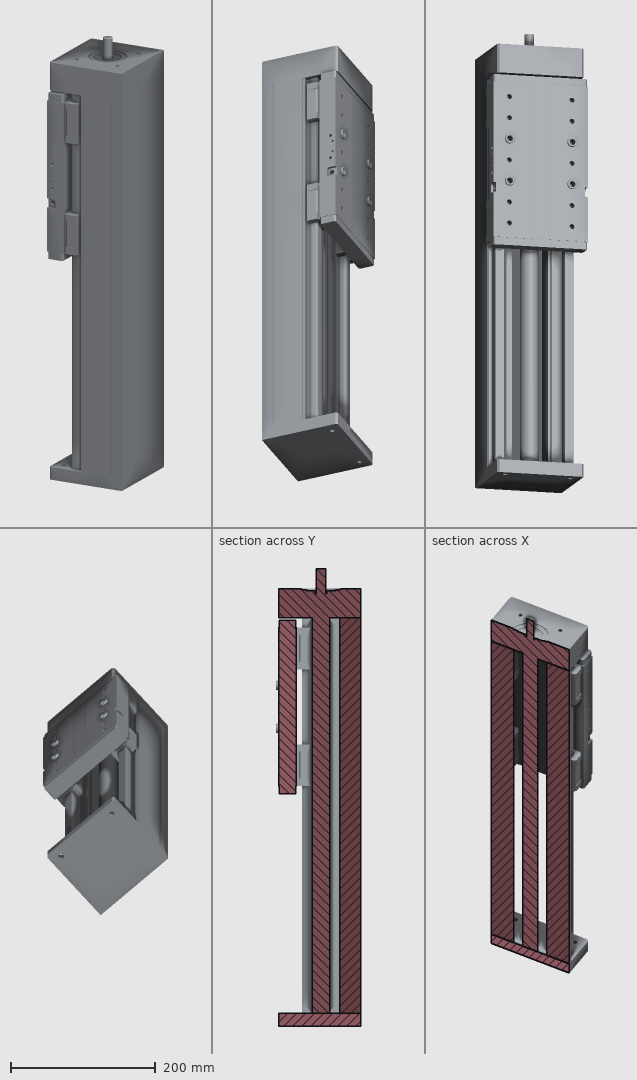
import cadquery as cq


total_height = 632.0
drive_block_top = 604.0
drive_block_bottom = 564.0
end_plate_thickness = 18.5
profile_z = (end_plate_thickness, drive_block_bottom)

back_x = 55.0
front_x = -59.0
body_half_width = 62.0
corner_chamfer = 2.5

shoulder_x = -9.5
outer_ledge_x = -6.0
outer_ledge_inset = 0.5
inner_ledge_x = -4.5
inner_ledge_half_width = 30.0
channel_floor_x = 25.0
channel_half_width = 26.0
side_groove_x = 37.0
side_groove_width = 2.0
side_groove_depth = 0.5

rail_inner_y = 43.0
rail_width = 13.0
rail_half_width = rail_width / 2
rail_center_y = rail_inner_y + rail_half_width
rail_top_x = -26.5
rail_taper = 0.5
rail_taper_end_x = -23.0
rail_head_end_x = -17.0
rail_neck_x = -13.0
rail_waist_depth = 1.0
rail_neck_half_width = rail_half_width - rail_waist_depth

screw_diameter = 25.0
shaft_diameter = 13.0
shaft_chamfer = 0.5

face_recesses = ((54.5, 1.0), (40.5, 2.5), (15.0, 6.5))
motor_hole_diameter = 5.9
motor_hole_spacing = 63.0
motor_hole_depth = 12.5

mounting_hole_diameter = 7.0
mounting_hole_x = -45.0
mounting_hole_y = 47.0

carriage_center_z = 441.0
table_length = 218.5
table_half_width = 67.5
table_back_x = -34.0
table_z = (carriage_center_z - table_length / 2, carriage_center_z + table_length / 2)
cover_groove_half_width = 12.5
cover_groove_depth = 0.3

cap_length = 11.0
cap_inset = 0.5
cap_chamfer = 2.0

table_hole_diameter = 7.0
table_hole_pitch = 30.0
table_hole_steps = range(-3, 4)
table_hole_y = 45.0
table_hole_depth = 12.5
collar_steps = (-1, 1)
collar_diameter = 13.0
collar_bore_diameter = 8.0
collar_height = 3.0
collar_chamfer = 0.5

side_hole_pairs = ((-50.5, 18.0, 4.5), (-54.0, 8.0, 3.2))
side_hole_depth = 6.5
pocket_z = 402.0
pocket_height = 13.0
pocket_back_x = -45.5
pocket_corner_radius = 3.0
pocket_depth = 4.0
pocket_hole_x = -51.0
pocket_hole_diameter = 7.0

runner_length = 57.5
runner_cap_length = 10.0
runner_half_width = 16.5
runner_neck_inset = 2.5
runner_neck_end_x = -30.5
runner_core_inset = 0.5
runner_core_chamfer = 2.0
runner_foot_x = -16.0
runner_foot_inset = 1.0
runner_bottom_x = -14.0
runner_clearance = 0.5
runner_offset_z = (table_length - runner_length) / 2


def box(x_range, y_range, z_range):
    """Box between two limits along each axis."""
    size = [high - low for low, high in (x_range, y_range, z_range)]
    corner = (x_range[0], y_range[0], z_range[0])
    return cq.Workplane("XY").box(*size, centered=False).translate(corner)


def span(center, half):
    """Limits lying the same distance either side of a center."""
    return (center - half, center + half)


def cylinder_x(x_low, x_high, y, z, diameter):
    """Cylinder along X."""
    return cq.Workplane("YZ", origin=(x_low, y, z)).circle(diameter / 2).extrude(x_high - x_low)


def cylinder_z(x, y, z_low, z_high, diameter):
    """Cylinder along Z."""
    return cq.Workplane("XY", origin=(x, y, z_low)).circle(diameter / 2).extrude(z_high - z_low)


def body_slab(z_low, z_high):
    """Slab with the shared end outline and chamfered front corners."""
    slab = box((front_x, back_x), span(0, body_half_width), (z_low, z_high))
    return slab.edges("|Z and <X").chamfer(corner_chamfer)


def make_end_plate():
    plate = body_slab(0, end_plate_thickness)
    for side in (-1, 1):
        y = side * mounting_hole_y
        plate = plate.cut(cylinder_z(mounting_hole_x, y, 0, end_plate_thickness, mounting_hole_diameter))
    return plate


def make_drive_unit():
    unit = body_slab(drive_block_bottom, drive_block_top)
    for diameter, depth in face_recesses:
        unit = unit.cut(cylinder_z(0, 0, drive_block_top - depth, drive_block_top, diameter))
    motor_holes = (
        cq.Workplane("XY", origin=(0, 0, drive_block_top))
        .rect(motor_hole_spacing, motor_hole_spacing, forConstruction=True)
        .vertices()
        .circle(motor_hole_diameter / 2)
        .extrude(-motor_hole_depth)
    )
    unit = unit.cut(motor_holes)
    screw = cylinder_z(0, 0, end_plate_thickness, drive_block_bottom, screw_diameter)
    shaft = cylinder_z(0, 0, drive_block_bottom, total_height, shaft_diameter)
    return unit.union(screw).union(shaft.faces(">Z").chamfer(shaft_chamfer))


def make_rail(side):
    """Rail with a tapered top edge and a waisted neck."""
    half_outline = [
        (rail_top_x, rail_half_width - rail_taper),
        (rail_taper_end_x, rail_half_width),
        (rail_head_end_x, rail_half_width),
        (rail_neck_x, rail_neck_half_width),
        (shoulder_x, rail_neck_half_width),
    ]
    outline = half_outline + [(x, -y) for x, y in reversed(half_outline)]
    rail = cq.Workplane("XY").polyline(outline).close().extrude(profile_z[1] - profile_z[0])
    return rail.translate((0, side * rail_center_y, profile_z[0]))


def make_profile():
    profile = box((shoulder_x, back_x), span(0, body_half_width), profile_z)
    profile = profile.cut(box((shoulder_x, inner_ledge_x), span(0, inner_ledge_half_width), profile_z))
    profile = profile.cut(box((inner_ledge_x, channel_floor_x), span(0, channel_half_width), profile_z))
    groove_x_range = (side_groove_x, side_groove_x + side_groove_width)
    for side in (-1, 1):
        face_y = side * body_half_width
        profile = profile.cut(box((shoulder_x, outer_ledge_x), span(face_y, outer_ledge_inset), profile_z))
        profile = profile.cut(box(groove_x_range, span(face_y, side_groove_depth), profile_z))
        profile = profile.union(make_rail(side))
    return profile


def make_table():
    """Table plate with its cover groove and end caps."""
    table = box((front_x, table_back_x), span(0, table_half_width), table_z)
    groove_x_range = (front_x, front_x + cover_groove_depth)
    table = table.cut(box(groove_x_range, span(0, cover_groove_half_width), table_z))
    for cap_start in (table_z[0] - cap_length, table_z[1]):
        cap = box(
            (front_x + cap_inset, table_back_x - cap_inset),
            span(0, table_half_width - cap_inset),
            (cap_start, cap_start + cap_length),
        )
        table = table.union(cap.edges("|Z").chamfer(cap_chamfer))
    return table


def make_runner(side, z_center):
    """Runner straddling one rail, with a cap at each end of a slightly smaller core."""
    y_center = side * rail_center_y
    full_z = span(z_center, runner_length / 2)
    core_z = span(z_center, runner_length / 2 - runner_cap_length)

    neck_y = span(y_center, runner_half_width - runner_neck_inset)
    runner = box((table_back_x, runner_neck_end_x), neck_y, full_z)

    core_y = span(y_center, runner_half_width - runner_core_inset)
    core = box((runner_neck_end_x, runner_foot_x), core_y, core_z)
    runner = runner.union(core.edges("|Z and <X").chamfer(runner_core_chamfer))

    for cap_z in ((full_z[0], core_z[0]), (core_z[1], full_z[1])):
        cap_y = span(y_center, runner_half_width)
        runner = runner.union(box((runner_neck_end_x, runner_foot_x), cap_y, cap_z))

    foot_y = span(y_center, runner_half_width - runner_foot_inset)
    runner = runner.union(box((runner_foot_x, runner_bottom_x), foot_y, full_z))

    slot_y = span(y_center, rail_half_width + runner_clearance)
    return runner.cut(box((rail_top_x - runner_clearance, runner_bottom_x), slot_y, full_z))


def add_front_holes(table, side):
    """One row of front holes, two of them in raised collars."""
    y = side * table_hole_y
    for step in table_hole_steps:
        z = carriage_center_z + step * table_hole_pitch
        bore = table_hole_diameter
        if step in collar_steps:
            bore = collar_bore_diameter
            collar = cylinder_x(front_x - collar_height, front_x, y, z, collar_diameter)
            table = table.union(collar.faces("<X").chamfer(collar_chamfer))
        hole_start_x = front_x - collar_height
        table = table.cut(cylinder_x(hole_start_x, front_x + table_hole_depth, y, z, bore))
    return table


def side_hole(side, x, z, depth, diameter):
    """Tool for a hole sunk into one side of the table."""
    plane = cq.Workplane("XZ", origin=(x, side * table_half_width, z))
    return plane.circle(diameter / 2).extrude(side * depth)


def cut_side_features(table, side):
    """Side holes and the open corner pocket with its hole."""
    for x, offset, diameter in side_hole_pairs:
        for z in span(carriage_center_z, offset):
            table = table.cut(side_hole(side, x, z, side_hole_depth, diameter))
    pocket_y = span(side * table_half_width, pocket_depth)
    pocket = box((front_x, pocket_back_x), pocket_y, span(pocket_z, pocket_height / 2))
    table = table.cut(pocket.edges("|Y and >X").fillet(pocket_corner_radius))
    hole_depth = pocket_depth + side_hole_depth
    return table.cut(side_hole(side, pocket_hole_x, pocket_z, hole_depth, pocket_hole_diameter))


def make_carriage():
    carriage = make_table()
    for side in (-1, 1):
        for runner_z in span(carriage_center_z, runner_offset_z):
            carriage = carriage.union(make_runner(side, runner_z))
        carriage = add_front_holes(carriage, side)
        carriage = cut_side_features(carriage, side)
    return carriage


end_plate = make_end_plate()
drive_unit = make_drive_unit()
profile = make_profile()
carriage = make_carriage()

result = cq.Compound.makeCompound([end_plate.val(), drive_unit.val(), profile.val(), carriage.val()])